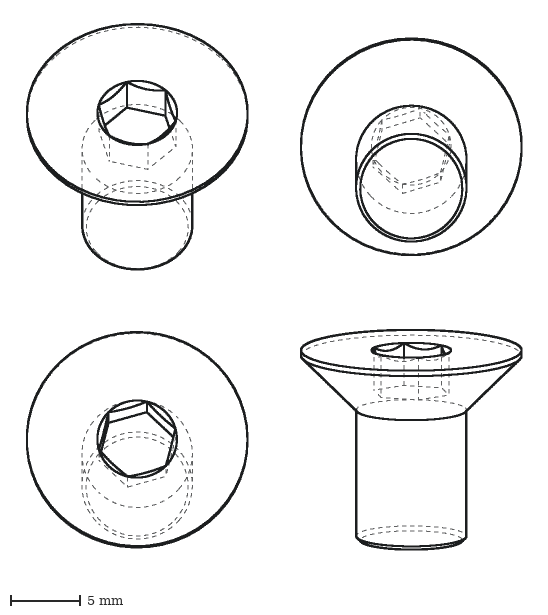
import cadquery as cq
import math

head_diameter = 16.0
shank_diameter = head_diameter / 2
total_length = 14.0
rim_height = 0.4
tip_chamfer = 0.3

socket_across_flats = 5.0
socket_depth = 3.12
socket_chamfer_angle = 45.0

head_radius = head_diameter / 2
shank_radius = shank_diameter / 2
cone_top = total_length - rim_height
cone_bottom = cone_top - (head_radius - shank_radius)
socket_across_corners = socket_across_flats / math.cos(math.radians(30))
socket_corner_radius = socket_across_corners / 2


def screw_body():
    """Revolve the half-profile of head, shank and chamfered tip."""
    return (
        cq.Workplane("XZ")
        .moveTo(0, 0)
        .lineTo(shank_radius - tip_chamfer, 0)
        .lineTo(shank_radius, tip_chamfer)
        .lineTo(shank_radius, cone_bottom)
        .lineTo(head_radius, cone_top)
        .lineTo(head_radius, total_length)
        .lineTo(0, total_length)
        .close()
        .revolve(360, (0, 0, 0), (0, 1, 0))
    )


def hexagon_socket():
    """Blind hexagonal prism with two corners on the Y axis."""
    return (
        cq.Workplane("XY")
        .workplane(offset=total_length - socket_depth)
        .transformed(rotate=(0, 0, 90))
        .polygon(6, socket_across_corners)
        .extrude(socket_depth)
    )


def socket_lead_in():
    """Cone through the hexagon corners at the top face, narrowing downwards."""
    cone_depth = socket_corner_radius * math.tan(math.radians(socket_chamfer_angle))
    return (
        cq.Workplane("XZ")
        .moveTo(0, total_length - cone_depth)
        .lineTo(socket_corner_radius, total_length)
        .lineTo(0, total_length)
        .close()
        .revolve(360, (0, 0, 0), (0, 1, 0))
    )


result = screw_body().cut(hexagon_socket()).cut(socket_lead_in())